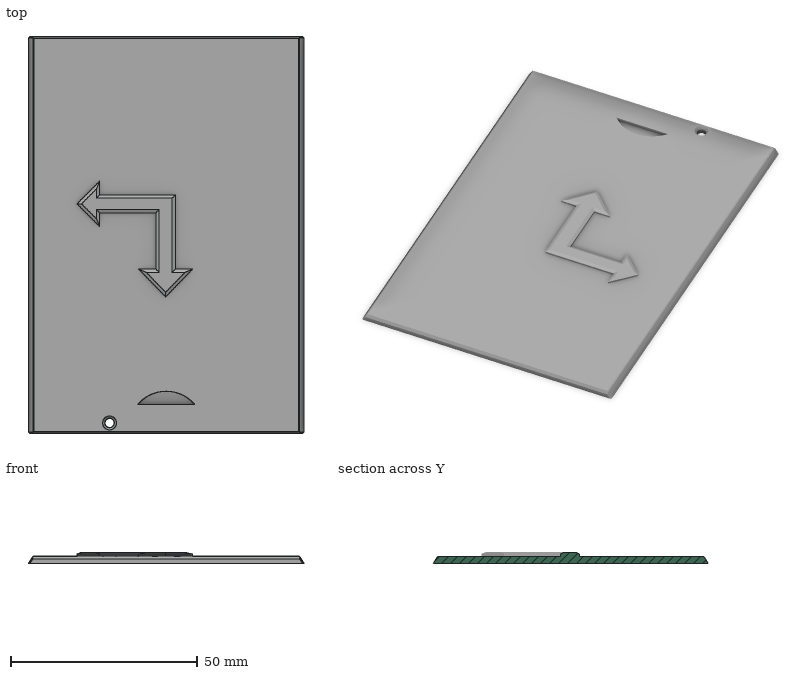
import cadquery as cq
import math

PLATE_WIDTH = 74.0
PLATE_LENGTH = 106.5
PLATE_THICKNESS = 2.0
SIDE_INSET = 1.3
SIDE_CHAMFER = 0.2
END_CHAMFER_DROP = 0.7
END_CHAMFER_INSET = 0.5
CORNER_CHAMFER = 0.3

TOTAL_HEIGHT = 3.0
ARROW_HEIGHT = TOTAL_HEIGHT - PLATE_THICKNESS
ARROW_BEVEL_DROP = 0.4
ARROW_BEVEL_INSET = 0.9
ARM_RIGHT = 2.5
ARM_LEFT = -2.8
ARM_TOP = 10.8
ARM_BOTTOM = 6.0
DOWN_HEAD_BASE = -9.2
DOWN_HEAD_LENGTH = 7.5
DOWN_HEAD_HALF_WIDTH = 7.2
LEFT_HEAD_BASE = -17.9
LEFT_HEAD_LENGTH = 6.1
LEFT_HEAD_HALF_WIDTH = 6.1

RECESS_RADIUS = 10.0
RECESS_RISE = 3.5
RECESS_CHORD_Y = -45.5
RECESS_DEPTH = 1.0

HOLE_X = -15.2
HOLE_Y = -50.5
HOLE_DIAMETER = 2.5
COUNTERSINK_DIAMETER = 3.7
COUNTERSINK_ANGLE = 90


def make_plate():
    bottom_x = PLATE_WIDTH / 2
    top_x = bottom_x - SIDE_INSET
    section = [
        (-bottom_x, 0),
        (bottom_x, 0),
        (top_x, PLATE_THICKNESS),
        (-top_x, PLATE_THICKNESS),
    ]
    plate = (
        cq.Workplane("XZ")
        .polyline(section)
        .close()
        .extrude(PLATE_LENGTH / 2, both=True)
    )
    plate = plate.edges("|Y and >Z").chamfer(SIDE_CHAMFER)
    plate = plate.faces("<X or >X").edges("<Y or >Y").chamfer(CORNER_CHAMFER)
    for end in (-1, 1):
        plate = plate.cut(make_end_bevel(end))
    return plate


def make_end_bevel(end):
    end_y = end * PLATE_LENGTH / 2
    return (
        cq.Workplane("YZ")
        .moveTo(end_y, PLATE_THICKNESS)
        .lineTo(end_y, PLATE_THICKNESS - END_CHAMFER_DROP)
        .lineTo(end_y - end * END_CHAMFER_INSET, PLATE_THICKNESS)
        .close()
        .extrude(PLATE_WIDTH / 2, both=True)
    )


def make_arrow():
    down_x = (ARM_LEFT + ARM_RIGHT) / 2
    left_y = (ARM_BOTTOM + ARM_TOP) / 2
    outline = [
        (ARM_RIGHT, ARM_TOP),
        (ARM_RIGHT, DOWN_HEAD_BASE),
        (down_x + DOWN_HEAD_HALF_WIDTH, DOWN_HEAD_BASE),
        (down_x, DOWN_HEAD_BASE - DOWN_HEAD_LENGTH),
        (down_x - DOWN_HEAD_HALF_WIDTH, DOWN_HEAD_BASE),
        (ARM_LEFT, DOWN_HEAD_BASE),
        (ARM_LEFT, ARM_BOTTOM),
        (LEFT_HEAD_BASE, ARM_BOTTOM),
        (LEFT_HEAD_BASE, left_y - LEFT_HEAD_HALF_WIDTH),
        (LEFT_HEAD_BASE - LEFT_HEAD_LENGTH, left_y),
        (LEFT_HEAD_BASE, left_y + LEFT_HEAD_HALF_WIDTH),
        (LEFT_HEAD_BASE, ARM_TOP),
    ]
    arrow = (
        cq.Workplane("XY")
        .workplane(offset=PLATE_THICKNESS)
        .polyline(outline)
        .close()
        .extrude(ARROW_HEIGHT)
    )
    return arrow.faces(">Z").chamfer(ARROW_BEVEL_DROP, ARROW_BEVEL_INSET)


def make_recess():
    half_chord = math.sqrt(RECESS_RADIUS**2 - (RECESS_RADIUS - RECESS_RISE) ** 2)
    arc_top_y = RECESS_CHORD_Y + RECESS_RISE
    segment = (
        cq.Workplane("XY")
        .moveTo(-half_chord, RECESS_CHORD_Y)
        .threePointArc((0, arc_top_y), (half_chord, RECESS_CHORD_Y))
        .close()
        .extrude(PLATE_THICKNESS)
    )
    wedge = (
        cq.Workplane("YZ")
        .moveTo(RECESS_CHORD_Y, PLATE_THICKNESS)
        .lineTo(RECESS_CHORD_Y, PLATE_THICKNESS - RECESS_DEPTH)
        .lineTo(arc_top_y, PLATE_THICKNESS)
        .close()
        .extrude(half_chord, both=True)
    )
    return segment.intersect(wedge)


def drill_hole(plate):
    return (
        plate.faces(">Z")
        .workplane(origin=(HOLE_X, HOLE_Y, PLATE_THICKNESS))
        .cskHole(HOLE_DIAMETER, COUNTERSINK_DIAMETER, COUNTERSINK_ANGLE)
    )


result = drill_hole(make_plate()).cut(make_recess()).union(make_arrow())